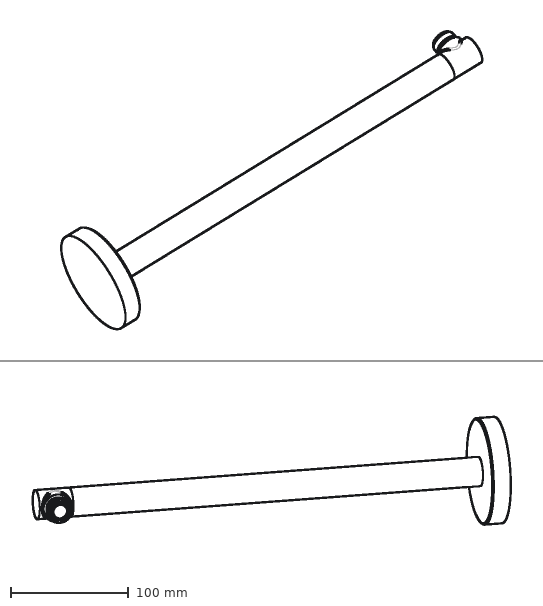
import cadquery as cq

total_length = 405.0

flange_diameter = 91.0
flange_thickness = 16.0
flange_edge_chamfer = 1.2

arm_diameter = 25.0
head_length = 29.5

outlet_inset = 15.0
boss_diameter = 24.5
boss_reach = 14.0
boss_root_chamfer = 1.2
neck_diameter = 19.0
neck_end = 16.0
collar_diameter = 21.0
collar_start = 17.5
collar_end = 22.5
tip_diameter = 18.5
tip_end = 25.0

recess_mouth_diameter = 14.5
recess_floor_diameter = 12.0
recess_depth = 1.0

selection_margin = 0.5

wall_y = -total_length / 2
arm_start_y = wall_y + flange_thickness
free_end_y = total_length / 2
head_start_y = free_end_y - head_length
outlet_y = free_end_y - outlet_inset


def cylinder_along_y(diameter, start_y, end_y):
    plane = cq.Plane(origin=(0, start_y, 0), xDir=(1, 0, 0), normal=(0, 1, 0))
    return cq.Workplane(plane).circle(diameter / 2).extrude(end_y - start_y)


def make_boss():
    plane = cq.Plane(origin=(0, outlet_y, 0), xDir=(0, 1, 0), normal=(-1, 0, 0))
    return cq.Workplane(plane).circle(boss_diameter / 2).extrude(boss_reach)


def make_spigot():
    """Neck, collar, tapered tip and recess, turned about the outlet axis."""
    outline = [
        (0, 0),
        (0, neck_diameter / 2),
        (-neck_end, neck_diameter / 2),
        (-collar_start, collar_diameter / 2),
        (-collar_end, collar_diameter / 2),
        (-tip_end, tip_diameter / 2),
        (-tip_end, recess_mouth_diameter / 2),
        (recess_depth - tip_end, recess_floor_diameter / 2),
        (recess_depth - tip_end, 0),
    ]
    profile = cq.Workplane("XY").polyline(outline).close()
    return profile.revolve(360, (0, 0, 0), (1, 0, 0)).translate((0, outlet_y, 0))


def make_flange():
    disc = cylinder_along_y(flange_diameter, wall_y, arm_start_y)
    return disc.faces(">Y").chamfer(flange_edge_chamfer)


def make_arm():
    return cylinder_along_y(arm_diameter, arm_start_y, head_start_y)


def make_head():
    barrel = cylinder_along_y(arm_diameter, head_start_y, free_end_y)

    root_edge = cq.selectors.BoxSelector(
        (-arm_diameter / 2, head_start_y + selection_margin, -arm_diameter),
        (0, free_end_y - selection_margin, arm_diameter),
    )
    head = barrel.union(make_boss()).edges(root_edge).chamfer(boss_root_chamfer)
    return head.union(make_spigot())


flange = make_flange()
arm = make_arm()
head = make_head()

result = cq.Compound.makeCompound([flange.val(), arm.val(), head.val()])